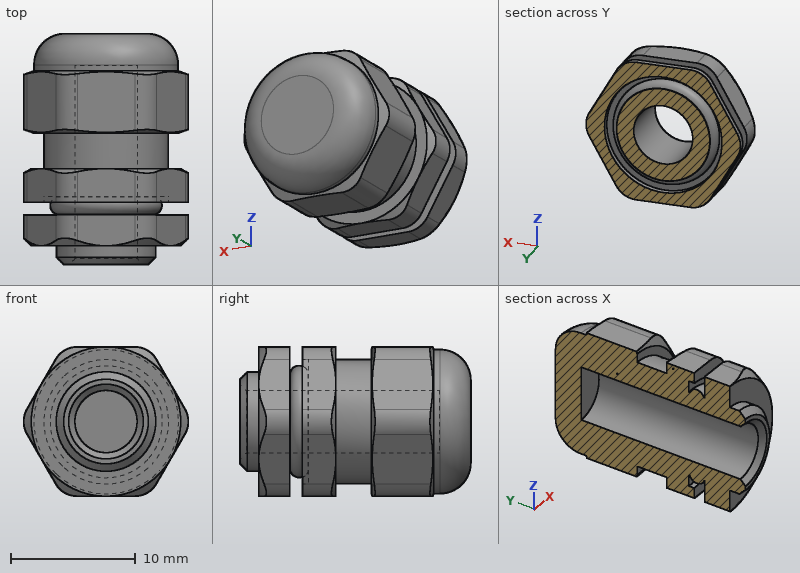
import cadquery as cq
import math


hex_across_flats = 12.0
hex_corner_radius = 2.0
hex_flat_radius = hex_across_flats / 2
hex_corner_reach = (hex_flat_radius - hex_corner_radius) / math.cos(math.pi / 6) + hex_corner_radius
blank_margin = 1.0
blank_radius = hex_corner_reach + blank_margin

thread_chamfer = 0.6
thread_exposed = 1.5
locknut_width = 2.5
seal_gap = 1.0
body_hex_width = 2.7
barrel_length = 2.85
cap_hex_width = 5.0
dome_skirt = 0.5
dome_fillet = 2.5

locknut_start = thread_exposed
seal_start = locknut_start + locknut_width
body_hex_start = seal_start + seal_gap
barrel_start = body_hex_start + body_hex_width
cap_hex_start = barrel_start + barrel_length
dome_start = cap_hex_start + cap_hex_width
dome_end = dome_start + dome_skirt + dome_fillet

thread_diameter = 8.0
barrel_diameter = 10.0
dome_diameter = 11.6
seal_diameter = 9.0
seal_recess_diameter = 10.0
seal_recess_depth = 0.5
seal_section_radius = (seal_gap + seal_recess_depth) / 2

bore_diameter = 5.0
bore_chamfer = 0.5
bore_depth = 16.0

locknut_bevel_angle = 45.0
body_bevel_angle = 30.0
cap_bevel_angle = 20.0


def cylinder(diameter, start, end):
    """Solid cylinder along Y between two stations."""
    return cq.Workplane("XZ", origin=(0, start, 0)).circle(diameter / 2).extrude(start - end)


def bevel_points(face_y, bevel, inward):
    """Profile points of one bevelled end of a blank.

    The bevel is (face diameter, angle) or None; inward is the Y direction into the blank, +1 or -1.
    """
    if bevel is None:
        return [(blank_radius, face_y)]
    face_radius = bevel[0] / 2
    drop = (blank_radius - face_radius) * math.tan(math.radians(bevel[1]))
    return [(face_radius, face_y), (blank_radius, face_y + inward * drop)]


def bevel_envelope(start, end, start_bevel, end_bevel):
    """Turned blank, wider than the hexagon corners, with its ends bevelled."""
    start_points = bevel_points(start, start_bevel, 1)
    end_points = bevel_points(end, end_bevel, -1)
    profile = [(0, start)] + start_points + end_points[::-1] + [(0, end)]
    return cq.Workplane("XY").polyline(profile).close().revolve(360, (0, 0, 0), (0, 1, 0))


def hexagon(start, end, start_bevel=None, end_bevel=None):
    """Hexagon with rounded corners, two corners on the X axis, and optional conical bevels."""
    prism = (
        cq.Workplane("XZ", origin=(0, start, 0))
        .polygon(6, hex_across_flats / math.cos(math.pi / 6))
        .extrude(start - end)
        .edges("|Y")
        .fillet(hex_corner_radius)
    )
    return prism.intersect(bevel_envelope(start, end, start_bevel, end_bevel))


def threaded_end():
    """Chamfered threaded shank, running back through the body hexagon."""
    thread = cylinder(thread_diameter, 0, barrel_start)
    return thread.faces("<Y").chamfer(thread_chamfer)


def locknut():
    """Locknut bevelled on its tip side."""
    bevel = (hex_across_flats, locknut_bevel_angle)
    return hexagon(locknut_start, seal_start, start_bevel=bevel)


def seal():
    """Half-round sealing ring from the locknut to the recess floor, solid down to the axis."""
    section_center_radius = seal_diameter / 2 - seal_section_radius
    crown_y = seal_start + seal_section_radius
    seal_end = body_hex_start + seal_recess_depth
    return (
        cq.Workplane("XY")
        .moveTo(0, seal_start)
        .lineTo(section_center_radius, seal_start)
        .threePointArc((seal_diameter / 2, crown_y), (section_center_radius, seal_end))
        .lineTo(0, seal_end)
        .close()
        .revolve(360, (0, 0, 0), (0, 1, 0))
    )


def body():
    """Body hexagon, recessed for the seal, with the round barrel behind it."""
    bevel = (hex_across_flats, body_bevel_angle)
    nut = hexagon(body_hex_start, barrel_start, end_bevel=bevel)
    recess = cylinder(seal_recess_diameter, body_hex_start, body_hex_start + seal_recess_depth)
    return nut.cut(recess).union(cylinder(barrel_diameter, barrel_start, cap_hex_start))


def cap():
    """Cap hexagon bevelled at both ends, carrying the rounded dome."""
    bevel = (dome_diameter, cap_bevel_angle)
    nut = hexagon(cap_hex_start, dome_start, bevel, bevel)
    dome = cylinder(dome_diameter, dome_start, dome_end).faces(">Y").edges().fillet(dome_fillet)
    return nut.union(dome)


def bore():
    """Blind bore from the threaded tip with a 45-degree chamfered mouth."""
    bore_radius = bore_diameter / 2
    mouth = cq.Solid.makeCone(
        bore_radius + bore_chamfer, bore_radius, bore_chamfer, cq.Vector(0, 0, 0), cq.Vector(0, 1, 0)
    )
    return cylinder(bore_diameter, 0, bore_depth).union(cq.Workplane(mouth))


result = threaded_end().union(locknut()).union(seal()).union(body()).union(cap()).cut(bore())